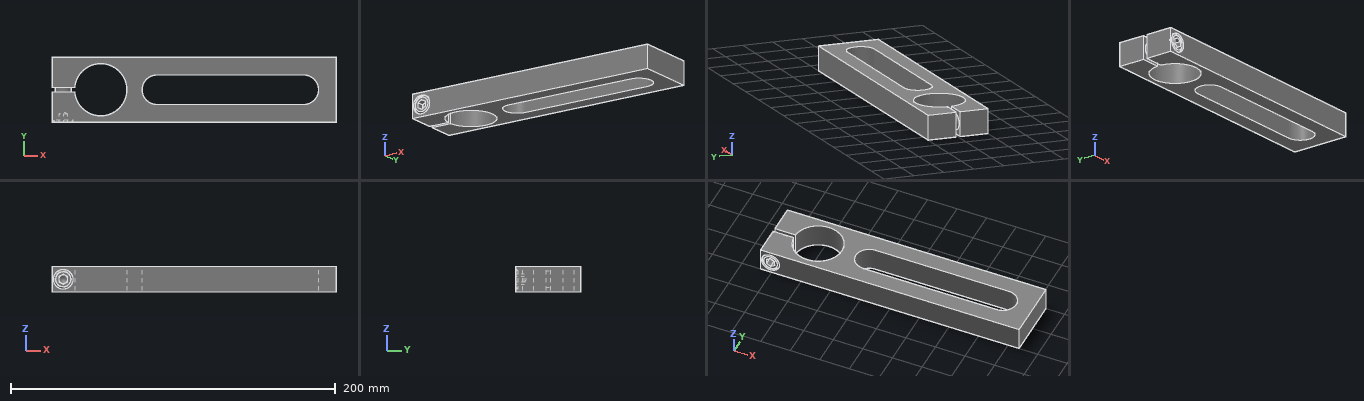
import cadquery as cq
import math

length = 175.0
width = 40.0
thickness = 16.0
left_end = -length / 2
front_face = -width / 2

bore_diameter = 32.0
bore_x = left_end + 30.0
slit_width = 2.6

slot_start = left_end + 55.5
slot_length = 108.5
slot_width = 18.0

screw_x = left_end + 6.8
shank_diameter = 10.0
head_diameter = 12.0
head_chamfer = 1.4
socket_flats = 5.5
socket_depth = 5.0
socket_tip_depth = 1.4


def make_bar():
    """Flat bar with the bore, the clamping slit and the slot cut through."""
    bar = cq.Workplane("XY").box(length, width, thickness)
    bore = cq.Workplane("XY").center(bore_x, 0).circle(bore_diameter / 2).extrude(thickness, both=True)
    slit_length = bore_x - left_end
    slit = cq.Workplane("XY").center(left_end + slit_length / 2, 0).box(slit_length, slit_width, thickness)
    slot = (
        cq.Workplane("XY")
        .center(slot_start + slot_length / 2, 0)
        .slot2D(slot_length, slot_width)
        .extrude(thickness, both=True)
    )
    return bar.cut(bore).cut(slit).cut(slot)


def screw_plane(y):
    """Sketch plane on the screw axis, with its normal along +Y."""
    return cq.Workplane(cq.Plane(origin=(screw_x, y, 0), xDir=(1, 0, 0), normal=(0, 1, 0)))


def make_shank():
    """Stretch of screw that bridges the slit and joins the two jaws."""
    return screw_plane(-slit_width / 2).circle(shank_diameter / 2).extrude(slit_width)


def make_head_chamfer():
    """Ring-shaped gap between the chamfered screw head and its counterbore."""
    counterbore = screw_plane(front_face).circle(head_diameter / 2).extrude(head_chamfer)
    head = (
        screw_plane(front_face)
        .circle(head_diameter / 2 - head_chamfer)
        .workplane(offset=head_chamfer)
        .circle(head_diameter / 2)
        .loft()
    )
    return counterbore.cut(head)


def make_socket():
    """Hexagon socket with two corners in line with Z and a conical bottom."""
    corner_diameter = socket_flats / math.cos(math.pi / 6)
    hexagon = (
        screw_plane(front_face)
        .transformed(rotate=(0, 0, 90))
        .polygon(6, corner_diameter)
        .extrude(socket_depth)
    )
    cone = cq.Solid.makeCone(
        socket_flats / 2,
        0,
        socket_tip_depth,
        pnt=cq.Vector(screw_x, front_face + socket_depth, 0),
        dir=cq.Vector(0, 1, 0),
    )
    return hexagon.union(cq.Workplane(obj=cone))


result = make_bar().union(make_shank()).cut(make_head_chamfer()).cut(make_socket())